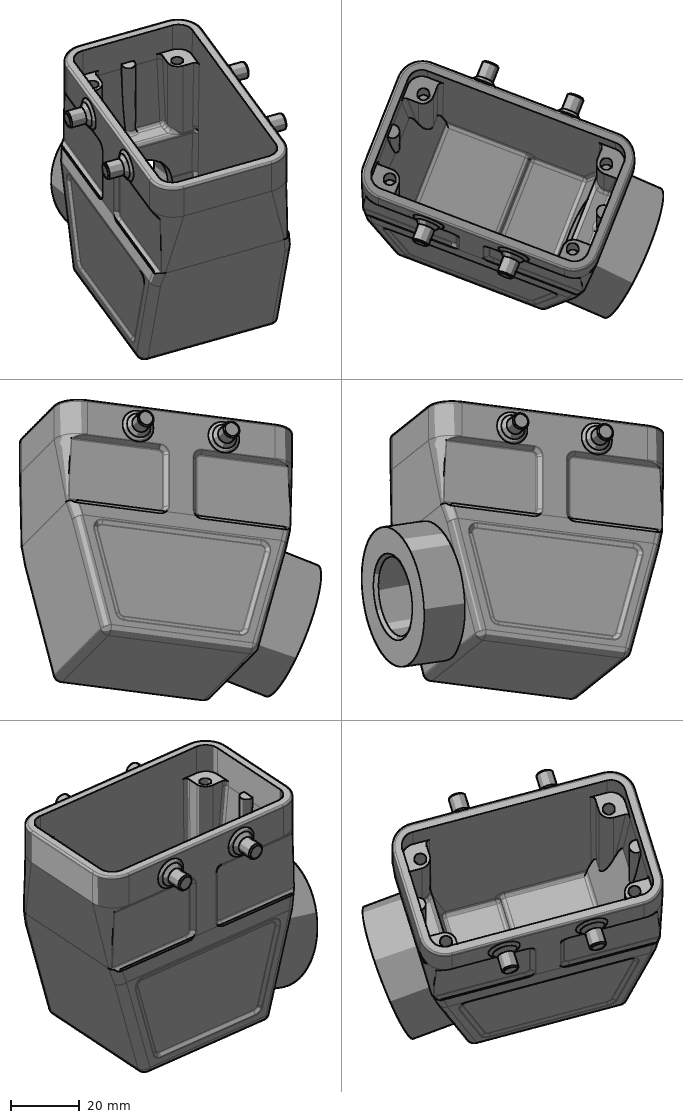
import cadquery as cq
import math


MARGIN = 0.1

OVERALL_LENGTH = 83.85
HEIGHT = 71.95
BAND_BOTTOM = 61.3
WAIST = 40.25
SHOULDER_BOTTOM = 35.55
TOP_HALF_X = 36.6
WAIST_HALF_X = 34.55
TOP_HALF_Y = 21.55
LOWER_HALF_Y = 22.4
SLOPE = math.radians(15)
BAND_CORNER = 7.55
LOWER_CORNER = 2.5
RIM_ROUND = 0.7
BASE_HALF_X = WAIST_HALF_X - WAIST * math.tan(SLOPE)

RIM_WALL = 2.85
CAVITY_HALF_X = TOP_HALF_X - RIM_WALL
CAVITY_TOP_HALF_Y = TOP_HALF_Y - RIM_WALL
CAVITY_FLOOR_HALF_Y = 17.8
CAVITY_CORNER = 4.4
STRAIGHT_BOTTOM = 61.2
WALL_AT_WAIST = 3.0
ENTRY_WALL = 4.5
LEDGE_Z = 38.6
LEDGE_EDGE_X = 25.4
LOW_FLOOR = 5.95
HIGH_FLOOR = 8.9
HIGH_FLOOR_END_X = 22.9
FLOOR_STEP_X = -3.3
CAVITY_ROUND = 1.3

POST_TOP = 62.9
POST_INNER_X = 25.6
POST_INNER_Y = 10.6
POST_CORNER = 3.35
SCREW_X = 28.5
SCREW_Y = 13.5
SCREW_DIAMETER = 3.5
SCREW_DEPTH = 10.1
POST_ROOT_ROUND = 1.25
LEDGE_BORDER_ROUND = 1.2
RIB_RADIUS = 2.0
RIB_REACH = 30.85

UPPER_RECESS_DEPTH = 1.3
LOWER_RECESS_DEPTH = 0.7
RECESS_WALL_WIDTH = 1.3
RECESS_CORNER = 2.8
RECESS_FLOOR_ROUND = 0.4
LOWER_RIM_ROUND = 0.5
UPPER_RIM_ROUND = 0.25
UPPER_RECESS_INNER_X = 3.8
UPPER_RECESS_TOP = 61.05
UPPER_RECESS_BOTTOM = 39.4
LOWER_RECESS_TOP = 34.9
LOWER_RECESS_BOTTOM = 4.45
LOWER_RECESS_MARGIN = 5.0

PIN_X = 13.25
PIN_Z = 65.65
PIN_RADIUS = 2.5
PIN_TIP_Y = 28.5
PIN_TIP_CHAMFER = 0.4
PIN_CONE_LENGTH = 1.9
PIN_LIP_HEIGHT = 0.75
PIN_LIP_RADIUS = 4.8
PIN_LIP_SAG = 0.125
PIN_EMBED = 0.8

ENTRY_Z = 16.9
ENTRY_DIAMETER = 41.1
ENTRY_LENGTH = 15.1
ENTRY_X = TOP_HALF_X - OVERALL_LENGTH + ENTRY_DIAMETER / 2 * math.sin(SLOPE)
BORE_DIAMETER = 23.3
BORE_DEPTH = 13.9
BORE_CHAMFER = 1.1
CHAMFER_TAPER = 45
PASSAGE_DIAMETER = 20.8
PASSAGE_DEPTH = 25.15


def slope_x(z):
    """Half length of the outer housing at height z on the steep part."""
    return BASE_HALF_X + z * math.tan(SLOPE)


def rounded_plate(half_x, half_y, radius):
    """Rectangle with rounded corners around the origin."""
    return cq.Sketch().rect(2 * half_x, 2 * half_y).vertices().fillet(radius)


def rounded_loft(low_z, low, high_z, high):
    """Loft between two rounded rectangles, each given as (half_x, half_y, radius)."""
    lift = cq.Location(cq.Vector(0, 0, high_z - low_z))
    return (
        cq.Workplane("XY", origin=(0, 0, low_z))
        .placeSketch(rounded_plate(*low), rounded_plate(*high).moved(lift))
        .loft()
    )


def both_sides(shape):
    """The shape together with its mirror image across the XZ plane."""
    return shape.union(shape.mirror("XZ"))


def mirrored(shape, side_x, side_y):
    """The shape moved to the given X and Y side by mirroring."""
    if side_x < 0:
        shape = shape.mirror("YZ")
    if side_y < 0:
        shape = shape.mirror("XZ")
    return shape


def centered_in(x_range, y_range, z_range):
    """Selector for edges centered inside a box; each range may run in either order."""
    return cq.selectors.BoxSelector(*zip(x_range, y_range, z_range))


def near(value):
    """Narrow range around a position."""
    return value - MARGIN, value + MARGIN


def make_housing():
    """Solid outer body: rim band, tapered middle and steep lower part."""
    band = (
        cq.Workplane("XY", origin=(0, 0, BAND_BOTTOM))
        .placeSketch(rounded_plate(TOP_HALF_X, TOP_HALF_Y, BAND_CORNER))
        .extrude(HEIGHT - BAND_BOTTOM)
        .faces(">Z").edges().fillet(RIM_ROUND)
    )
    taper = rounded_loft(
        WAIST, (WAIST_HALF_X, TOP_HALF_Y, LOWER_CORNER),
        BAND_BOTTOM, (TOP_HALF_X, TOP_HALF_Y, BAND_CORNER),
    )
    side = [(-BASE_HALF_X, 0), (BASE_HALF_X, 0), (WAIST_HALF_X, WAIST), (-WAIST_HALF_X, WAIST)]
    lower = cq.Workplane("XZ").polyline(side).close().extrude(LOWER_HALF_Y, both=True)
    end = [
        (LOWER_HALF_Y, 0), (LOWER_HALF_Y, SHOULDER_BOTTOM), (TOP_HALF_Y, WAIST),
        (-TOP_HALF_Y, WAIST), (-LOWER_HALF_Y, SHOULDER_BOTTOM), (-LOWER_HALF_Y, 0),
    ]
    lower = lower.intersect(cq.Workplane("YZ").polyline(end).close().extrude(WAIST_HALF_X, both=True))
    lower = lower.faces("<X or >X or <Z").edges("not >Z").fillet(LOWER_CORNER)
    return band.union(taper).union(lower)


def make_entry():
    """Cable entry barrel and its stepped bore, both along the tilted axis."""
    axis = (math.cos(SLOPE), 0, math.sin(SLOPE))
    face = cq.Plane(origin=(ENTRY_X, 0, ENTRY_Z), xDir=(0, 1, 0), normal=axis)
    barrel = cq.Workplane(face).circle(ENTRY_DIAMETER / 2).extrude(ENTRY_LENGTH)
    bore = cq.Workplane(face).circle(BORE_DIAMETER / 2).extrude(BORE_DEPTH)
    passage = cq.Workplane(face).circle(PASSAGE_DIAMETER / 2).extrude(PASSAGE_DEPTH)
    mouth_radius = BORE_DIAMETER / 2 + BORE_CHAMFER
    mouth = cq.Workplane(face).circle(mouth_radius).extrude(BORE_CHAMFER, taper=CHAMFER_TAPER)
    return barrel, bore.union(passage).union(mouth)


def make_cavity():
    """Empty space inside the housing, before the posts and ribs are left standing in it."""
    waist_x = WAIST_HALF_X - WALL_AT_WAIST
    ledge_foot_z = (ENTRY_WALL + LEDGE_EDGE_X - BASE_HALF_X) / math.tan(SLOPE)
    profile = [
        (-CAVITY_HALF_X, HEIGHT),
        (-CAVITY_HALF_X, STRAIGHT_BOTTOM),
        (-waist_x, LEDGE_Z),
        (-LEDGE_EDGE_X, LEDGE_Z),
        (-LEDGE_EDGE_X, ledge_foot_z),
        (ENTRY_WALL - slope_x(LOW_FLOOR), LOW_FLOOR),
        (FLOOR_STEP_X, LOW_FLOOR),
        (FLOOR_STEP_X, HIGH_FLOOR),
        (HIGH_FLOOR_END_X, HIGH_FLOOR),
        (waist_x, WAIST),
        (CAVITY_HALF_X, STRAIGHT_BOTTOM),
        (CAVITY_HALF_X, HEIGHT),
    ]
    cavity = cq.Workplane("XZ").polyline(profile).close().extrude(TOP_HALF_Y, both=True)
    plan = rounded_loft(
        0, (CAVITY_HALF_X, CAVITY_FLOOR_HALF_Y, CAVITY_CORNER),
        HEIGHT, (CAVITY_HALF_X, CAVITY_TOP_HALF_Y, CAVITY_CORNER),
    )
    cavity = cavity.intersect(plan)
    below_ledge = centered_in(
        (-POST_INNER_X - POST_CORNER, POST_INNER_X), (-TOP_HALF_Y, TOP_HALF_Y), (0, LEDGE_Z + MARGIN)
    )
    return cavity.edges(below_ledge).fillet(CAVITY_ROUND)


def make_post(side_x, side_y):
    """Corner post with a blind screw hole, running from the cavity floor up."""
    center_x = (POST_INNER_X + TOP_HALF_X) / 2
    center_y = (POST_INNER_Y + TOP_HALF_Y) / 2
    post = (
        cq.Workplane("XY")
        .center(center_x, center_y)
        .rect(TOP_HALF_X - POST_INNER_X, TOP_HALF_Y - POST_INNER_Y)
        .extrude(POST_TOP)
        .edges("|Z").edges(cq.selectors.NearestToPointSelector((0, 0, POST_TOP / 2))).fillet(POST_CORNER)
        .faces(">Z").workplane(origin=(SCREW_X, SCREW_Y, POST_TOP)).hole(SCREW_DIAMETER, SCREW_DEPTH)
    )
    return mirrored(post, side_x, side_y)


def make_rib(side_x):
    """Guide rib with a half-round front in the middle of an end wall."""
    axis_x = RIB_REACH + RIB_RADIUS
    rib = (
        cq.Workplane("XY")
        .moveTo(TOP_HALF_X, -RIB_RADIUS).lineTo(axis_x, -RIB_RADIUS)
        .threePointArc((RIB_REACH, 0), (axis_x, RIB_RADIUS)).lineTo(TOP_HALF_X, RIB_RADIUS).close()
        .extrude(POST_TOP)
    )
    return mirrored(rib, side_x, 1)


def make_pin(x):
    """Locking pin on the -Y wall, with a flared root and a chamfered tip."""
    root_y = TOP_HALF_Y
    cone_radius = PIN_RADIUS + PIN_CONE_LENGTH - PIN_LIP_HEIGHT
    profile = (
        cq.Workplane("XY")
        .moveTo(0, root_y - PIN_EMBED).lineTo(PIN_LIP_RADIUS, root_y - PIN_EMBED)
        .lineTo(PIN_LIP_RADIUS, root_y)
        .sagittaArc((cone_radius, root_y + PIN_LIP_HEIGHT), -PIN_LIP_SAG)
        .lineTo(PIN_RADIUS, root_y + PIN_CONE_LENGTH)
        .lineTo(PIN_RADIUS, PIN_TIP_Y - PIN_TIP_CHAMFER)
        .lineTo(PIN_RADIUS - PIN_TIP_CHAMFER, PIN_TIP_Y).lineTo(0, PIN_TIP_Y).close()
    )
    return profile.revolve(360, (0, 0, 0), (0, 1, 0)).mirror("XZ").translate((x, 0, PIN_Z))


def sunken_panel(corners, rounded, wall_y, depth):
    """Tool for a recess in the -Y wall, with drafted walls going in from the outline at Y = -wall_y.

    The corners are (X, Z) points, and rounded selects those to round (None for all).
    """
    outline = [(x, -z) for x, z in corners + corners[:1]]
    sketch = cq.Sketch().polygon(outline).vertices(rounded).fillet(RECESS_CORNER)
    plane = cq.Plane(origin=(0, -wall_y, 0), xDir=(1, 0, 0), normal=(0, 1, 0))
    draft = math.degrees(math.atan(RECESS_WALL_WIDTH / depth))
    panel = cq.Workplane(plane).placeSketch(sketch).extrude(depth, taper=draft)
    return panel.faces(">Y").edges().fillet(RECESS_FLOOR_ROUND)


def make_recesses():
    """The two upper recesses, open at the housing corners, and the trapezoidal lower one."""
    open_x = TOP_HALF_X + 2 * RECESS_WALL_WIDTH
    upper = sunken_panel(
        [
            (UPPER_RECESS_INNER_X, UPPER_RECESS_BOTTOM), (open_x, UPPER_RECESS_BOTTOM),
            (open_x, UPPER_RECESS_TOP), (UPPER_RECESS_INNER_X, UPPER_RECESS_TOP),
        ],
        "<X", TOP_HALF_Y, UPPER_RECESS_DEPTH,
    )
    low_x = slope_x(LOWER_RECESS_BOTTOM) - LOWER_RECESS_MARGIN
    high_x = slope_x(LOWER_RECESS_TOP) - LOWER_RECESS_MARGIN
    lower = sunken_panel(
        [
            (-low_x, LOWER_RECESS_BOTTOM), (low_x, LOWER_RECESS_BOTTOM),
            (high_x, LOWER_RECESS_TOP), (-high_x, LOWER_RECESS_TOP),
        ],
        None, LOWER_HALF_Y, LOWER_RECESS_DEPTH,
    )
    return upper.union(upper.mirror("YZ")).union(lower)


def round_recess_rims(housing):
    """Round the edges where the recesses meet the flat long walls."""
    lower_x = slope_x(LOWER_RECESS_TOP) - LOWER_RECESS_MARGIN
    lower_z = (LOWER_RECESS_BOTTOM - MARGIN, LOWER_RECESS_TOP + MARGIN)
    upper_z = (WAIST + MARGIN, UPPER_RECESS_TOP + MARGIN)
    for side_y in (-1, 1):
        lower_rim = centered_in((-lower_x, lower_x), near(side_y * LOWER_HALF_Y), lower_z)
        housing = housing.edges(lower_rim).fillet(LOWER_RIM_ROUND)
        for side_x in (-1, 1):
            upper_x = (side_x * (UPPER_RECESS_INNER_X - MARGIN), side_x * WAIST_HALF_X)
            upper_rim = centered_in(upper_x, near(side_y * TOP_HALF_Y), upper_z)
            housing = housing.edges(upper_rim).fillet(UPPER_RIM_ROUND)
    return housing


def round_post_roots(cavity):
    """Round the upright corners between posts and walls, then the border of the ledge."""
    wall_x = WAIST_HALF_X - WALL_AT_WAIST
    upright_z = (LEDGE_Z, POST_TOP)
    uprights = []
    for side_x in (-1, 1):
        for side_y in (-1, 1):
            at_end_wall = centered_in(
                (side_x * wall_x, side_x * CAVITY_HALF_X), near(side_y * POST_INNER_Y), upright_z
            )
            at_long_wall = centered_in(
                near(side_x * POST_INNER_X),
                (side_y * CAVITY_FLOOR_HALF_Y, side_y * CAVITY_TOP_HALF_Y),
                upright_z,
            )
            uprights += cavity.edges(at_end_wall).vals() + cavity.edges(at_long_wall).vals()
    cavity = cavity.newObject(uprights).fillet(POST_ROOT_ROUND)

    lip_x = -LEDGE_EDGE_X - CAVITY_ROUND
    ledge_border = centered_in(
        (-CAVITY_HALF_X, lip_x - MARGIN), (-POST_INNER_Y, POST_INNER_Y), near(LEDGE_Z)
    )
    return cavity.edges(ledge_border).fillet(LEDGE_BORDER_ROUND)


def make_interior():
    """The cavity with the corner posts and guide ribs left standing."""
    cavity = make_cavity()
    for side_x in (-1, 1):
        for side_y in (-1, 1):
            cavity = cavity.cut(make_post(side_x, side_y))
        cavity = cavity.cut(make_rib(side_x))
    return round_post_roots(cavity)


housing = round_recess_rims(make_housing().cut(both_sides(make_recesses())))
pins = make_pin(-PIN_X).union(make_pin(PIN_X))
barrel, bore = make_entry()
result = housing.union(both_sides(pins)).union(barrel).cut(make_interior()).cut(bore)